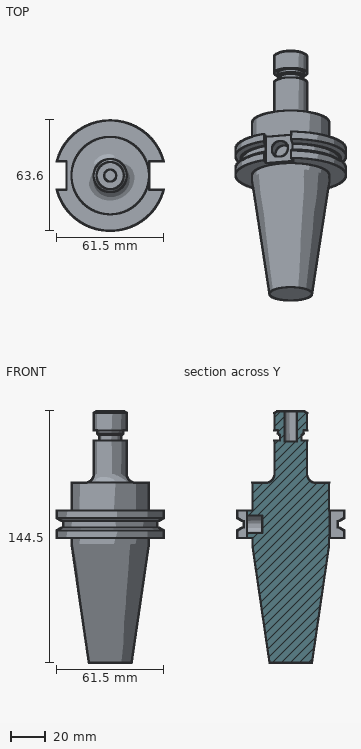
import cadquery as cq
import math

TOTAL_HEIGHT = 144.5
GAUGE_HEIGHT = 68.2
FLANGE_BOTTOM = 71.6
FLANGE_TOP = 87.5
COLLAR_TOP = 103.4
SHANK_TOP = 127.7
LIP_BOTTOM = 130.9
NUT_BOTTOM = 133.5

GAUGE_RADIUS = 22.2
TAPER_RATIO = 7 / 24
TAPER_END_RADIUS = GAUGE_RADIUS - GAUGE_HEIGHT * TAPER_RATIO / 2
FLANGE_RADIUS = 31.8
SHANK_RADIUS = 9.5
NECK_RADIUS = 6.4
LIP_RADIUS = 7.5

SHANK_FILLET = 4.9
LIP_CHAMFER = 0.7
NUT_CHAMFER_HEIGHT = 1.0
NUT_CHAMFER_WIDTH = 1.7

GROOVE_RADIUS = 28.2
GROOVE_FLANK_RADIUS = 28.9
GROOVE_FLOOR_HEIGHT = 3.6
GROOVE_FLANK_HEIGHT = 1.7
FLANGE_MIDDLE = (FLANGE_BOTTOM + FLANGE_TOP) / 2

SLOT_WIDTH = 16.2
LEFT_SLOT_FLOOR = 25.1
RIGHT_SLOT_FLOOR = 22.5

SLOT_HOLE_DIAMETER = 9.5
SLOT_HOLE_DEPTH = 8.7
BORE_DIAMETER = 7.0
BORE_DEPTH = 17.3


def turned_body():
    """Revolve the taper, flange blank, collar, shank and nut."""
    fillet_middle = SHANK_FILLET * (1 - math.sqrt(0.5))
    profile = (
        cq.Workplane("XZ")
        .lineTo(TAPER_END_RADIUS, 0)
        .lineTo(GAUGE_RADIUS, GAUGE_HEIGHT)
        .lineTo(GAUGE_RADIUS, FLANGE_BOTTOM)
        .lineTo(FLANGE_RADIUS, FLANGE_BOTTOM)
        .lineTo(FLANGE_RADIUS, FLANGE_TOP)
        .lineTo(GAUGE_RADIUS, FLANGE_TOP)
        .lineTo(GAUGE_RADIUS, COLLAR_TOP)
        .lineTo(SHANK_RADIUS + SHANK_FILLET, COLLAR_TOP)
        .threePointArc(
            (SHANK_RADIUS + fillet_middle, COLLAR_TOP + fillet_middle),
            (SHANK_RADIUS, COLLAR_TOP + SHANK_FILLET),
        )
        .lineTo(SHANK_RADIUS, SHANK_TOP)
        .lineTo(NECK_RADIUS, SHANK_TOP)
        .lineTo(NECK_RADIUS, LIP_BOTTOM)
        .lineTo(LIP_RADIUS - LIP_CHAMFER, LIP_BOTTOM)
        .lineTo(LIP_RADIUS, LIP_BOTTOM + LIP_CHAMFER)
        .lineTo(LIP_RADIUS, NUT_BOTTOM)
        .lineTo(SHANK_RADIUS, NUT_BOTTOM)
        .lineTo(SHANK_RADIUS, TOTAL_HEIGHT - NUT_CHAMFER_HEIGHT)
        .lineTo(SHANK_RADIUS - NUT_CHAMFER_WIDTH, TOTAL_HEIGHT)
        .lineTo(0, TOTAL_HEIGHT)
        .close()
    )
    return profile.revolve(360, (0, 0, 0), (0, 1, 0))


def gripper_groove():
    """Ring with a straight-walled channel at the root and sloping flanks above it."""
    half_floor = GROOVE_FLOOR_HEIGHT / 2
    half_mouth = half_floor + GROOVE_FLANK_HEIGHT
    return (
        cq.Workplane("XZ")
        .polyline([
            (GROOVE_RADIUS, FLANGE_MIDDLE - half_floor),
            (GROOVE_FLANK_RADIUS, FLANGE_MIDDLE - half_floor),
            (FLANGE_RADIUS, FLANGE_MIDDLE - half_mouth),
            (FLANGE_RADIUS, FLANGE_MIDDLE + half_mouth),
            (GROOVE_FLANK_RADIUS, FLANGE_MIDDLE + half_floor),
            (GROOVE_RADIUS, FLANGE_MIDDLE + half_floor),
        ])
        .close()
        .revolve(360, (0, 0, 0), (0, 1, 0))
    )


def drive_slot(side, floor):
    """Slot through the flange on the -X (side=-1) or +X (side=1) side."""
    depth = FLANGE_RADIUS - floor
    return cq.Workplane("XY").box(depth, SLOT_WIDTH, FLANGE_TOP - FLANGE_BOTTOM).translate(
        (side * (floor + depth / 2), 0, FLANGE_MIDDLE)
    )


def slot_hole():
    """Blind radial hole in the floor of the -X slot."""
    return (
        cq.Workplane("YZ", origin=(-LEFT_SLOT_FLOOR, 0, FLANGE_MIDDLE))
        .circle(SLOT_HOLE_DIAMETER / 2)
        .extrude(SLOT_HOLE_DEPTH)
    )


def top_bore():
    """Blind axial bore in the top of the nut."""
    return (
        cq.Workplane("XY", origin=(0, 0, TOTAL_HEIGHT))
        .circle(BORE_DIAMETER / 2)
        .extrude(-BORE_DEPTH)
    )


result = (
    turned_body()
    .cut(gripper_groove())
    .cut(drive_slot(-1, LEFT_SLOT_FLOOR))
    .cut(drive_slot(1, RIGHT_SLOT_FLOOR))
    .cut(slot_hole())
    .cut(top_bore())
)